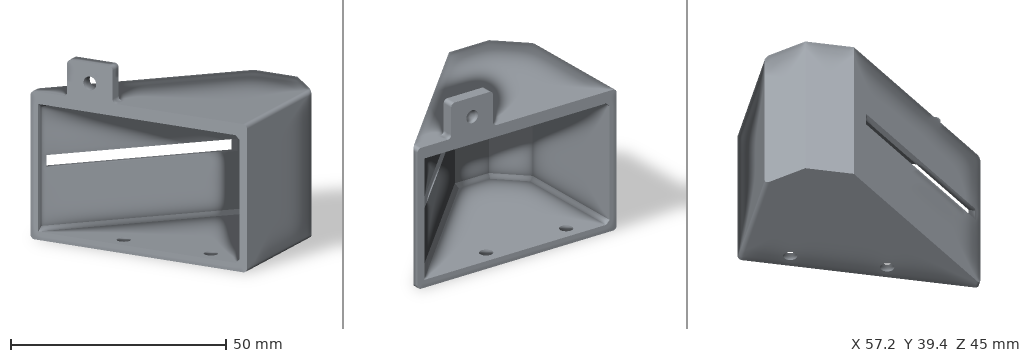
import cadquery as cq

length = 57.2
depth = 39.35
body_height = 36.0
total_height = 45.0
edge_radius = 1.0

left_side_depth = 1.65
bevel_size = 8.0
slant_end_x = depth - left_side_depth

wall = 2.0
roof_thickness = 3.0
back_wall = 1.65
cavity_chamfer = 1.0
cavity_left_depth = 1.55
cavity_bevel_size = 7.25
cavity_right = length - wall
cavity_back = depth - back_wall
cavity_slant_end_x = wall + cavity_back - cavity_left_depth
cavity_height = body_height - roof_thickness - wall

tab_left = 9.65
tab_width = 12.0
tab_thickness = 3.0
tab_hole_z = 40.0
hole_diameter = 3.3

floor_hole_xs = (22.55, 45.55)
floor_hole_y = 3.9

slot_left = 1.5
slot_front = 2.45
slot_inner_right = 35.75
slot_outer_right = 34.1
slot_ledge_y = 35.15
slot_bottom = 17.1
slot_height = 3.0


def make_body():
    """Rounded front outline trimmed by the angled plan outline."""
    block = (
        cq.Workplane("XY")
        .box(length, depth, body_height, centered=False)
        .edges("|Y")
        .fillet(edge_radius)
    )
    plan = (
        cq.Workplane("XY")
        .polyline([
            (0, 0),
            (length, 0),
            (length, depth - bevel_size),
            (length - bevel_size, depth),
            (slant_end_x, depth),
            (0, left_side_depth),
        ])
        .close()
        .extrude(body_height)
    )
    return block.intersect(plan)


def add_tab(body):
    """Upright tab flush with the open front, blended into the roof."""
    tab_center = tab_left + tab_width / 2
    tab_base = body_height - roof_thickness / 2
    tab = (
        cq.Workplane("XY")
        .box(tab_width, tab_thickness, total_height - tab_base, centered=False)
        .translate((tab_left, 0, tab_base))
        .edges("|Y and >Z")
        .fillet(edge_radius)
    )
    body = body.union(tab)
    for side, x in ((-1, tab_left), (1, tab_left + tab_width)):
        root = (
            cq.Workplane("XZ")
            .moveTo(x, body_height)
            .lineTo(x + side * edge_radius, body_height)
            .radiusArc((x, body_height + edge_radius), side * edge_radius)
            .close()
            .extrude(-tab_thickness)
        )
        body = body.union(root)
    hole = (
        cq.Workplane("XZ")
        .center(tab_center, tab_hole_z)
        .circle(hole_diameter / 2)
        .extrude(-tab_thickness)
    )
    return body.cut(hole)


def make_cavity():
    """Space open at the front, chamfered along every wall but the short left one."""
    cavity = (
        cq.Workplane("XY", origin=(0, 0, wall))
        .polyline([
            (wall, 0),
            (cavity_right, 0),
            (cavity_right, cavity_back - cavity_bevel_size),
            (cavity_right - cavity_bevel_size, cavity_back),
            (cavity_slant_end_x, cavity_back),
            (wall, cavity_left_depth),
        ])
        .close()
        .extrude(cavity_height)
    )
    rims = cavity.faces("<Z or >Z").edges("not(<X or <Y)")
    return cavity.newObject(rims.vals()).chamfer(cavity_chamfer)


def make_slot():
    """Flat opening through the 45 degree wall, narrowed by a ledge at its far end."""
    return (
        cq.Workplane("XY", origin=(0, 0, slot_bottom))
        .polyline([
            (slot_left, slot_front),
            (slot_inner_right, slot_front),
            (slot_inner_right, slot_ledge_y),
            (slot_outer_right, slot_ledge_y),
            (slot_outer_right, depth),
            (slot_left, depth),
        ])
        .close()
        .extrude(slot_height)
    )


def make_floor_holes():
    """Vertical screw holes through the floor."""
    return (
        cq.Workplane("XY")
        .pushPoints([(x, floor_hole_y) for x in floor_hole_xs])
        .circle(hole_diameter / 2)
        .extrude(wall)
    )


result = add_tab(make_body()).cut(make_cavity()).cut(make_slot()).cut(make_floor_holes())